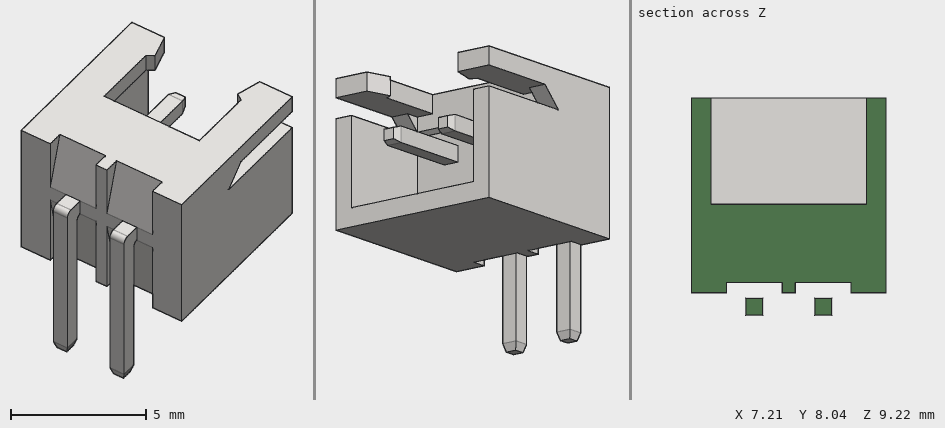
import cadquery as cq

body_width = 7.21
total_depth = 8.04
total_height = 9.22
body_depth = 7.21
body_height = 5.83

pin_pitch = 2.545
pin_size = 0.64
pin_top_drop = 2.17
pin_setback = 0.21
tip_length = 0.32
tip_size = 0.44
outer_bend_radius = 0.23
inner_bend_radius = 0.18

cavity_depth = 3.93
top_opening_width = 4.28
side_wall = 0.74
floor_thickness = 0.74

arm_thickness = 0.74
slot_height = 0.8
slot_depth = 4.15
catch_height = 0.29
catch_tip_setback = 1.03
catch_base_setback = 1.21

pocket_width = 2.05
pocket_depth = 0.63
lower_pocket_height = 3.015

pin_x_places = (-pin_pitch / 2, pin_pitch / 2)
pin_top = body_height - pin_top_drop
arm_bottom = body_height - arm_thickness
slot_bottom = arm_bottom - slot_height
cavity_back = body_depth - cavity_depth


def side_profile(points, width, x_center):
    """Extrude a closed outline of (y, z) points along X, centred on x_center."""
    outline = cq.Workplane("YZ", origin=(x_center, 0, 0)).polyline(points).close()
    return outline.extrude(width / 2, both=True)


def make_body():
    return cq.Workplane("XY").box(body_width, body_depth, body_height, centered=(True, False, False))


def make_lower_cavity():
    """Wide chamber below the arms, closed at the bottom by the floor."""
    width = body_width - 2 * side_wall
    height = arm_bottom - floor_thickness
    cavity = cq.Workplane("XY").box(width, cavity_depth, height, centered=(True, False, False))
    return cavity.translate((0, cavity_back, floor_thickness))


def make_top_opening():
    """Opening between the arms, narrowed by a catch on each side."""
    half_width = top_opening_width / 2
    half_neck = half_width - catch_height
    right_side = [
        (half_width, cavity_back),
        (half_width, body_depth - catch_base_setback),
        (half_neck, body_depth - catch_tip_setback),
        (half_width, body_depth),
    ]
    left_side = [(-x, y) for x, y in reversed(right_side)]
    outline = cq.Workplane("XY").workplane(offset=arm_bottom).polyline(right_side + left_side).close()
    return outline.extrude(arm_thickness)


def make_arm_slot():
    """Slot across the whole width with a 45 degree inner end."""
    inner_end = body_depth - slot_depth
    points = [
        (body_depth, slot_bottom),
        (inner_end, slot_bottom),
        (inner_end + slot_height, arm_bottom),
        (body_depth, arm_bottom),
    ]
    return side_profile(points, body_width, 0)


def make_back_pockets(x_center):
    """Wedges that run out on the back face above and below the pin."""
    upper_points = [(0, pin_top), (0, body_height), (pocket_depth, body_height)]
    lower_points = [(0, lower_pocket_height), (0, 0), (pocket_depth, 0)]
    upper = side_profile(upper_points, pocket_width, x_center)
    lower = side_profile(lower_points, pocket_width, x_center)
    return upper.union(lower)


def make_tip(origin, direction):
    """Tapered pin end that starts at origin and narrows along direction."""
    plane = cq.Plane(origin=origin, xDir=(1, 0, 0), normal=direction)
    base = cq.Workplane(plane).rect(pin_size, pin_size)
    return base.workplane(offset=tip_length).rect(tip_size, tip_size).loft()


def make_pin(x_center):
    """Square pin: level through the body, then bent down behind it."""
    leg_back = body_depth - total_depth
    leg_front = leg_back + pin_size
    pin_bottom = pin_top - pin_size
    leg_end = body_height - total_height + tip_length
    level_end = body_depth - pin_setback - tip_length
    points = [
        (leg_back, leg_end),
        (leg_back, pin_top),
        (level_end, pin_top),
        (level_end, pin_bottom),
        (leg_front, pin_bottom),
        (leg_front, leg_end),
    ]
    pin = side_profile(points, pin_size, x_center)
    pin = pin.edges("|X").edges("<Y").edges(">Z").fillet(outer_bend_radius)
    inner_corner = cq.selectors.NearestToPointSelector((x_center, leg_front, pin_bottom))
    pin = pin.edges("|X").edges(inner_corner).fillet(inner_bend_radius)

    level_tip = make_tip((x_center, level_end, pin_top - pin_size / 2), (0, 1, 0))
    leg_tip = make_tip((x_center, leg_back + pin_size / 2, leg_end), (0, 0, -1))
    return pin.union(level_tip).union(leg_tip)


result = make_body().cut(make_lower_cavity()).cut(make_top_opening()).cut(make_arm_slot())
for pin_x in pin_x_places:
    result = result.cut(make_back_pockets(pin_x))
for pin_x in pin_x_places:
    result = result.union(make_pin(pin_x))